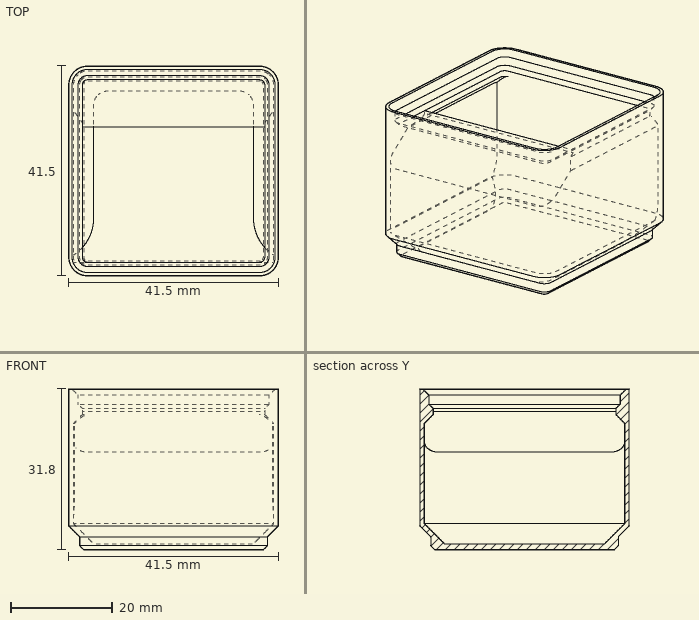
import cadquery as cq
import math

side = 41.5
height = 31.8
corner_radius = 3.75

foot_chamfer = 0.85
foot_straight = 1.75
foot_taper = 2.15
foot_side = side - 2 * foot_taper
foot_radius = corner_radius - foot_taper
taper_start = foot_chamfer + foot_straight
body_start = taper_start + foot_taper

rim_width = 0.65
lip_upper_slope = 1.2
lip_straight = 1.8
lip_lower_slope = 0.85
lip_inset = rim_width + lip_upper_slope + lip_lower_slope
lip_bottom = height - lip_upper_slope - lip_straight - lip_lower_slope
lip_band = 1.2

wall = 0.95
cavity_radius = corner_radius - wall
cavity_side = side - 2 * wall
floor_height = 1.2
floor_taper = 4.0
scoop_radius = 8.7

shelf_depth = 12.05
shelf_edge = 0.6
shelf_angle = math.radians(36)


def rounded_block(width, radius, bottom, top):
    """Square block with rounded vertical corners, centred on Z."""
    block = cq.Workplane("XY").box(width, width, top - bottom, centered=(True, True, False))
    return block.edges("|Z").fillet(radius).translate((0, 0, bottom))


def rounded_square(width, radius):
    return cq.Sketch().rect(width, width).vertices().fillet(radius)


def rounded_frustum(inset_low, low, inset_high, high):
    """45-degree transition between two outlines inset from the outer face."""
    lower = rounded_square(side - 2 * inset_low, corner_radius - inset_low)
    upper = rounded_square(side - 2 * inset_high, corner_radius - inset_high)
    return (
        cq.Workplane("XY")
        .placeSketch(
            lower.moved(cq.Location(cq.Vector(0, 0, low))),
            upper.moved(cq.Location(cq.Vector(0, 0, high))),
        )
        .loft(ruled=True)
    )


def make_body():
    body = rounded_block(side, corner_radius, body_start, height)
    body = body.union(rounded_frustum(foot_taper, taper_start, 0, body_start))
    body = body.union(rounded_block(foot_side, foot_radius, foot_chamfer, taper_start))
    return body.union(rounded_frustum(foot_taper + foot_chamfer, 0, foot_taper, foot_chamfer))


def make_lip_opening():
    """Space inside the stacking lip, including its narrow band."""
    middle_inset = rim_width + lip_upper_slope
    step_low = lip_bottom + lip_lower_slope
    step_high = step_low + lip_straight
    opening = rounded_block(
        side - 2 * lip_inset, corner_radius - lip_inset, lip_bottom - lip_band, lip_bottom
    )
    opening = opening.union(rounded_frustum(lip_inset, lip_bottom, middle_inset, step_low))
    opening = opening.union(
        rounded_block(side - 2 * middle_inset, corner_radius - middle_inset, step_low, step_high)
    )
    return opening.union(rounded_frustum(middle_inset, step_high, rim_width, height))


def along_x(profile):
    """Extrude a closed YZ profile across the whole cavity width."""
    return profile.extrude(cavity_side / 2, both=True)


def make_floor_tapers():
    """Cavity foot whose corner radius stays constant up the 45-degree slopes."""
    floor_half = cavity_side / 2 - floor_taper
    taper_top = floor_height + floor_taper
    lower = rounded_square(2 * floor_half, cavity_radius)
    upper = rounded_square(cavity_side, cavity_radius)
    return (
        cq.Workplane("XY")
        .placeSketch(
            lower.moved(cq.Location(cq.Vector(0, 0, floor_height))),
            upper.moved(cq.Location(cq.Vector(0, 0, taper_top))),
        )
        .loft(ruled=True)
    )


def make_scoop():
    """Finger scoop that fills the -Y wall out to the lip."""
    face_y = -side / 2 + lip_inset
    bend = scoop_radius * (1 - math.sqrt(0.5))
    profile = (
        cq.Workplane("YZ")
        .moveTo(-side / 2, floor_height)
        .lineTo(face_y + scoop_radius, floor_height)
        .threePointArc(
            (face_y + bend, floor_height + bend),
            (face_y, floor_height + scoop_radius),
        )
        .lineTo(face_y, lip_bottom)
        .lineTo(-side / 2, lip_bottom)
        .close()
    )
    return along_x(profile)


def make_shelf():
    """Label shelf with a sloping underside."""
    front_y = side / 2 - shelf_depth
    drop = shelf_depth * math.tan(shelf_angle)
    profile = (
        cq.Workplane("YZ")
        .moveTo(side / 2, lip_bottom)
        .lineTo(front_y, lip_bottom)
        .lineTo(front_y, lip_bottom - shelf_edge)
        .lineTo(side / 2, lip_bottom - shelf_edge - drop)
        .close()
    )
    return along_x(profile)


def make_cavity():
    slope_top = lip_bottom - lip_band
    slope_bottom = slope_top - (lip_inset - wall)
    cavity = make_floor_tapers()
    cavity = cavity.union(
        rounded_block(cavity_side, cavity_radius, floor_height + floor_taper, slope_bottom)
    )
    cavity = cavity.union(rounded_frustum(wall, slope_bottom, lip_inset, slope_top))
    cavity = cavity.union(make_lip_opening())
    return cavity.cut(make_scoop()).cut(make_shelf())


result = make_body().cut(make_cavity())